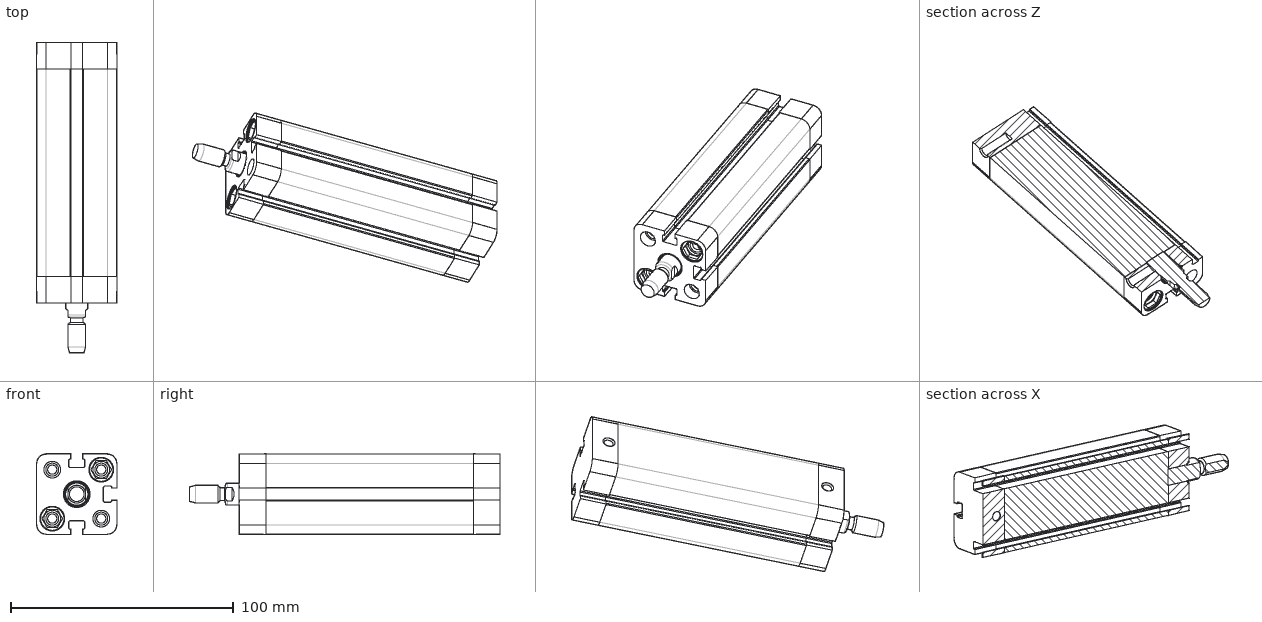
import cadquery as cq
import math


AXIS_ORIGIN = (0, 0, 0)
INWARD = (0, 1, 0)

PROFILE_WIDTH = 36.06
CORNER_RADIUS = 4.25
HALF_PROFILE = PROFILE_WIDTH / 2
FLAT_WIDTH = PROFILE_WIDTH - 2 * CORNER_RADIUS

TOTAL_LENGTH = 139.6
ROD_REACH = 22.4
HOUSING_LENGTH = TOTAL_LENGTH - ROD_REACH
CAP_LENGTH = 12.0
TUBE_LENGTH = HOUSING_LENGTH - 2 * CAP_LENGTH

CAP_SEAM_WIDTH = 36.3
CAP_SWELL = (CAP_SEAM_WIDTH - PROFILE_WIDTH) / 2

SLOT_MOUTH = 5.3
SLOT_INNER_WIDTH = 7.1
SLOT_FLOOR = 12.0
SLOT_LIP = 15.7
SLOT_CORNER_CHAMFER = 0.4
MOUTH_CHAMFER = 0.4
SLOT_ANGLES = (-90, 0, 90)

MOUNT_OFFSET = 11.0
MOUNT_DIAMETER = 7.5
MOUNT_DEPTH = 5.0
SCREW_MOUTH_DIAMETER = 11.1
SCREW_RECESS_DIAMETER = 10.48
SCREW_RECESS_DEPTH = 0.8
HEX_ACROSS_FLATS = 8.0
HEX_DEPTH = 2.0
SCREW_BORE_DIAMETER = 7.55
SCREW_BORE_DEPTH = 1.5

THREAD_DIAMETER = 4.13
THREAD_MOUTH_DIAMETER = 5.8
THREAD_DEPTH = 5.0

PORT_FROM_FACE = 7.75
PORT_MOUTH_DIAMETER = 5.5
PORT_DEPTH = 15.0

ROD_DIAMETER = 10.0
COLLAR_FILLET = 0.9
COLLAR_REACH = 6.2
FLATS_WIDTH = 8.0
FLATS_START = 3.3
NECK_DIAMETER = 5.8
NECK_START = 6.6
NECK_END = 8.7
STUD_DIAMETER = 8.0
STUD_CHAMFER = 0.9
TIP_DIAMETER = 6.6
TIP_START = 19.7

WIPER_STEPS = ((12.0, 0.5), (11.1, 1.0), (10.48, 1.5))


def cylinder(diameter, length, start, direction):
    solid = cq.Solid.makeCylinder(diameter / 2, length, cq.Vector(*start), cq.Vector(*direction))
    return cq.Workplane(solid)


def profile_block(start, length):
    block = cq.Workplane("XY").box(PROFILE_WIDTH, length, PROFILE_WIDTH)
    return block.edges("|Y").fillet(CORNER_RADIUS).translate((0, start + length / 2, 0))


def slot_cutter(mouth_chamfer):
    """T-slot over the whole housing length, open to +X."""
    inner_depth = SLOT_LIP - SLOT_FLOOR
    inner = cq.Workplane("XY").box(inner_depth, HOUSING_LENGTH, SLOT_INNER_WIDTH)
    inner = inner.edges("|Y").chamfer(SLOT_CORNER_CHAMFER)
    inner = inner.translate((SLOT_FLOOR + inner_depth / 2, HOUSING_LENGTH / 2, 0))
    mouth_depth = CAP_SEAM_WIDTH / 2 - SLOT_FLOOR
    mouth = cq.Workplane("XY").box(mouth_depth, HOUSING_LENGTH, SLOT_MOUTH)
    mouth = mouth.translate((SLOT_FLOOR + mouth_depth / 2, HOUSING_LENGTH / 2, 0))
    cutter = inner.union(mouth)
    if mouth_chamfer > 0:
        half_mouth = SLOT_MOUTH / 2
        flare = (
            cq.Workplane("XZ")
            .moveTo(HALF_PROFILE - mouth_chamfer, -half_mouth)
            .lineTo(HALF_PROFILE, -half_mouth - mouth_chamfer)
            .lineTo(HALF_PROFILE, half_mouth + mouth_chamfer)
            .lineTo(HALF_PROFILE - mouth_chamfer, half_mouth)
            .close()
            .extrude(-HOUSING_LENGTH)
        )
        cutter = cutter.union(flare)
    return cutter


def cut_slots(body, mouth_chamfer=0):
    cutter = slot_cutter(mouth_chamfer)
    for angle in SLOT_ANGLES:
        body = body.cut(cutter.rotate(AXIS_ORIGIN, INWARD, angle))
    return body


def swell_wedge(face_y, seam_y):
    """Thin wedge on the +X side, growing from the outer face to the seam."""
    return (
        cq.Workplane("XY")
        .workplane(offset=-FLAT_WIDTH / 2)
        .moveTo(SLOT_FLOOR, face_y)
        .lineTo(HALF_PROFILE, face_y)
        .lineTo(HALF_PROFILE + CAP_SWELL, seam_y)
        .lineTo(SLOT_FLOOR, seam_y)
        .close()
        .extrude(FLAT_WIDTH)
    )


def countersink(mouth_diameter, end_diameter, start, direction):
    """45-degree cone narrowing from the mouth to the end diameter."""
    depth = (mouth_diameter - end_diameter) / 2
    cone = cq.Solid.makeCone(
        mouth_diameter / 2, end_diameter / 2, depth, cq.Vector(*start), cq.Vector(*direction)
    )
    return cq.Workplane(cone)


def port_cutter(y):
    """Threaded port from the -X side, with a conical mouth."""
    side_x = -CAP_SEAM_WIDTH / 2
    cone = countersink(PORT_MOUTH_DIAMETER, THREAD_DIAMETER, (-HALF_PROFILE, y, 0), (1, 0, 0))
    entry = cylinder(PORT_MOUTH_DIAMETER, CAP_SWELL, (side_x, y, 0), (1, 0, 0))
    bore = cylinder(THREAD_DIAMETER, PORT_DEPTH, (side_x, y, 0), (1, 0, 0))
    return bore.union(cone).union(entry)


def cap(face_y, seam_y):
    """End cap with swollen sides, T-slots and its air port."""
    body = profile_block(min(face_y, seam_y), CAP_LENGTH)
    wedge = swell_wedge(face_y, seam_y)
    for angle in (0, 90, 180, 270):
        body = body.union(wedge.rotate(AXIS_ORIGIN, INWARD, angle))
    body = cut_slots(body)
    port_offset = math.copysign(PORT_FROM_FACE, seam_y - face_y)
    return body.cut(port_cutter(face_y + port_offset))


def thread_cutter(x, z, depth):
    """M5 thread hole with a conical mouth, sunk from the given depth."""
    start = (x, depth, z)
    bore = cylinder(THREAD_DIAMETER, THREAD_DEPTH, start, INWARD)
    return bore.union(countersink(THREAD_MOUTH_DIAMETER, THREAD_DIAMETER, start, INWARD))


def cut_mount_hole(body, x, z):
    body = body.cut(cylinder(MOUNT_DIAMETER, MOUNT_DEPTH, (x, 0, z), INWARD))
    return body.cut(thread_cutter(x, z, MOUNT_DEPTH))


def cut_screw_socket(body, x, z):
    """Round recess, hexagon socket, round bore and thread, one below the other."""
    hex_corners = HEX_ACROSS_FLATS / math.cos(math.pi / 6)
    hex_floor = SCREW_RECESS_DEPTH + HEX_DEPTH
    bore_floor = hex_floor + SCREW_BORE_DEPTH
    face_center = (x, 0, z)
    body = body.cut(cylinder(SCREW_RECESS_DIAMETER, SCREW_RECESS_DEPTH, face_center, INWARD))
    body = body.cut(countersink(SCREW_MOUTH_DIAMETER, SCREW_RECESS_DIAMETER, face_center, INWARD))
    body = body.cut(cq.Workplane("XZ").center(x, z).polygon(6, hex_corners).extrude(-hex_floor))
    body = body.cut(cylinder(SCREW_BORE_DIAMETER, bore_floor, face_center, INWARD))
    return body.cut(thread_cutter(x, z, bore_floor))


def make_front_cap():
    body = cap(0, CAP_LENGTH)
    body = body.cut(cylinder(ROD_DIAMETER, CAP_LENGTH, AXIS_ORIGIN, INWARD))
    for diameter, depth in WIPER_STEPS:
        body = body.cut(cylinder(diameter, depth, AXIS_ORIGIN, INWARD))
    for side in (-1, 1):
        body = cut_mount_hole(body, side * MOUNT_OFFSET, -side * MOUNT_OFFSET)
        body = cut_screw_socket(body, side * MOUNT_OFFSET, side * MOUNT_OFFSET)
    return body


def make_rear_cap():
    return cap(HOUSING_LENGTH, HOUSING_LENGTH - CAP_LENGTH)


def make_tube():
    return cut_slots(profile_block(CAP_LENGTH, TUBE_LENGTH), MOUTH_CHAMFER)


def flat_cutter(side):
    """Wrench flat on one X side of the rod, with a sloped shoulder."""
    flat_x = FLATS_WIDTH / 2
    rod_x = ROD_DIAMETER / 2
    slope = rod_x - flat_x
    return (
        cq.Workplane("XY")
        .workplane(offset=-rod_x)
        .moveTo(side * flat_x, -NECK_START)
        .lineTo(side * flat_x, -FLATS_START)
        .lineTo(side * rod_x, -FLATS_START + slope)
        .lineTo(side * rod_x, -NECK_START)
        .close()
        .extrude(ROD_DIAMETER)
    )


def make_rod():
    rod_radius = ROD_DIAMETER / 2
    stud_radius = STUD_DIAMETER / 2
    fillet_drop = COLLAR_FILLET * (1 - math.sqrt(0.5))
    fillet_start = -COLLAR_REACH + COLLAR_FILLET
    rod = (
        cq.Workplane("XY")
        .moveTo(0, CAP_LENGTH)
        .lineTo(rod_radius, CAP_LENGTH)
        .lineTo(rod_radius, fillet_start)
        .threePointArc(
            (rod_radius - fillet_drop, -COLLAR_REACH + fillet_drop),
            (rod_radius - COLLAR_FILLET, -COLLAR_REACH),
        )
        .lineTo(NECK_DIAMETER / 2, -NECK_START)
        .lineTo(NECK_DIAMETER / 2, -NECK_END)
        .lineTo(stud_radius - STUD_CHAMFER, -NECK_END)
        .lineTo(stud_radius, -NECK_END - STUD_CHAMFER)
        .lineTo(stud_radius, -TIP_START)
        .lineTo(TIP_DIAMETER / 2, -ROD_REACH)
        .lineTo(0, -ROD_REACH)
        .close()
        .revolve(360, (0, 0), (0, 1))
    )
    for side in (-1, 1):
        rod = rod.cut(flat_cutter(side))
    return rod


front_cap = make_front_cap()
tube = make_tube()
rear_cap = make_rear_cap()
rod = make_rod()

result = cq.Compound.makeCompound([front_cap.val(), tube.val(), rear_cap.val(), rod.val()])